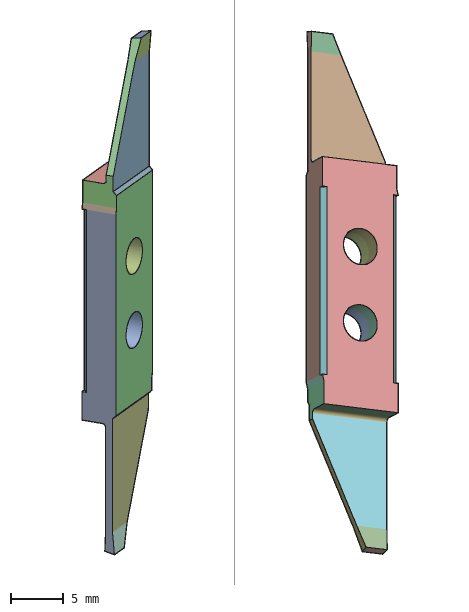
import cadquery as cq

thickness = 3.6
width = 8.0
length = 50.5

body_half_length = 12.15
back_half_length = 11.15
relief_depth = 0.15
relief_start = 9.25
relief_end = 9.85
edge_chamfer = 0.5
root_fillet = 0.35
hole_diameter = 3.55
hole_spacing = 7.5

blade_front = 2.5
blade_back = 3.25
tip_length = 2.2
tip_front_flare = 0.08
tip_back_flare = 0.2
tip_slope = 0.2
tip_width = 2.15
slant_start = 13.05

x_front = -thickness / 2
x_back = thickness / 2
x_blade_front = x_front + blade_front
x_blade_back = x_front + blade_back
y_side = width / 2
y_relief = y_side - relief_depth
z_tip = length / 2


def turned_about_x(points):
    """Follow a half outline with its copy turned half a turn in the (Y, Z) plane."""
    return points + [(-y, -z) for y, z in points]


def side_profile():
    """Body and blades in the XZ plane, extruded over the full width."""
    back_slope = x_back - x_blade_back
    upper = [
        (x_front, body_half_length),
        (x_blade_front, body_half_length),
        (x_blade_front, z_tip - tip_length),
        (x_blade_front - tip_front_flare, z_tip - tip_slope),
        (x_blade_back + tip_back_flare, z_tip),
        (x_blade_back, z_tip - tip_length),
        (x_blade_back, back_half_length + back_slope),
        (x_back, back_half_length),
    ]
    lower = [(x, -z) for x, z in reversed(upper)]
    profile = cq.Workplane("XZ").polyline(upper + lower).close()
    solid = profile.extrude(y_side, both=True)
    for z in (-body_half_length, body_half_length):
        corner = cq.selectors.NearestToPointSelector((x_blade_front, 0, z))
        solid = solid.edges("|Y").edges(corner).fillet(root_fillet)
    return solid


def face_outline():
    """Point-symmetric outline in the YZ plane: slanted blades and relieved sides."""
    half = [
        (y_side, z_tip),
        (y_side - tip_width, z_tip),
        (-y_relief, slant_start),
        (-y_relief, relief_end),
        (-y_side, relief_start),
    ]
    outline = cq.Workplane("YZ").polyline(turned_about_x(half)).close()
    return outline.extrude(thickness, both=True)


def edge_chamfers():
    """Triangular cutters for the 45 degree chamfers along the two front edges of the body."""
    base = cq.Workplane("XY").workplane(offset=-relief_start)
    cutters = cq.Workplane("XY")
    for side in (-1, 1):
        corner = (x_front, side * y_side)
        on_side = (x_front + edge_chamfer, side * y_side)
        on_front = (x_front, side * (y_side - edge_chamfer))
        triangle = base.polyline([corner, on_side, on_front]).close()
        cutters = cutters.add(triangle.extrude(2 * relief_start))
    return cutters.combine()


def mounting_holes():
    """Two through holes along X."""
    centres = [(0, -hole_spacing / 2), (0, hole_spacing / 2)]
    holes = cq.Workplane("YZ").pushPoints(centres).circle(hole_diameter / 2)
    return holes.extrude(thickness, both=True)


result = side_profile().intersect(face_outline())
result = result.cut(edge_chamfers())
result = result.cut(mounting_holes())